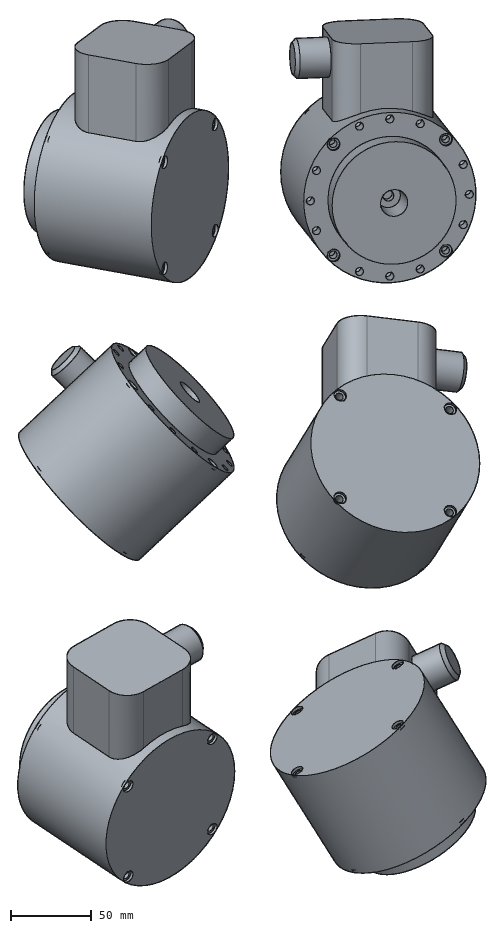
import cadquery as cq
import math

overall_length = 95.5
overall_height = 150.2

body_diameter = 108.5
pilot_diameter = 78.0
pilot_length = 14.7

tower_width = 63.1
tower_corner_radius = 15.2
tower_center_x = 57.4
tower_top_z = overall_height - body_diameter / 2

connector_diameter = 25.1
connector_length = 22.1
connector_chamfer = 2.5
connector_drop = 15.2

bore_mouth_diameter = 17.0
bore_floor_diameter = 15.0
bore_depth = 20.0
center_hole_diameter = 6.8
center_hole_depth = 6.0

bolt_circle_radius = 50.0
bolt_places = 16
diagonal_places = [2, 6, 10, 14]
drilled_diameter = 5.0
drilled_depth = 10.0
drill_point_angle = 118.0
screw_hole_diameter = 4.8
screw_hole_depth = 6.7
counterbore_diameter = 7.8
counterbore_depth = 1.3


def cylinder_x(diameter, start_x, length, y=0.0, z=0.0):
    """Cylinder along +X, or along -X where the length is negative."""
    return cq.Workplane("YZ", origin=(start_x, y, z)).circle(diameter / 2).extrude(length)


def revolved_x(profile, start_x, y=0.0, z=0.0):
    """Solid of revolution about an X-parallel axis, from (depth, radius) points."""
    section = cq.Workplane("XY").polyline(profile).close()
    return section.revolve(360, (0, 0, 0), (1, 0, 0)).translate((start_x, y, z))


def bolt_position(place):
    angle = 2 * math.pi * place / bolt_places
    return bolt_circle_radius * math.cos(angle), bolt_circle_radius * math.sin(angle)


def make_housing():
    pilot = cylinder_x(pilot_diameter, 0, overall_length)
    body = cylinder_x(body_diameter, pilot_length, overall_length - pilot_length)
    return pilot.union(body)


def make_tower():
    base = cq.Workplane("XY", origin=(tower_center_x, 0, 0))
    tower = base.rect(tower_width, tower_width).extrude(tower_top_z)
    return tower.edges("|Z").fillet(tower_corner_radius)


def make_connector():
    axis_z = tower_top_z - connector_drop
    tip_y = tower_width / 2 + connector_length
    start = cq.Workplane("XZ", origin=(tower_center_x, 0, axis_z))
    connector = start.circle(connector_diameter / 2).extrude(-tip_y)
    return connector.faces(">Y").chamfer(connector_chamfer)


def make_center_bore():
    mouth_radius = bore_mouth_diameter / 2
    floor_radius = bore_floor_diameter / 2
    bore = revolved_x([(0, 0), (0, mouth_radius), (bore_depth, floor_radius), (bore_depth, 0)], 0)
    return bore.union(cylinder_x(center_hole_diameter, 0, bore_depth + center_hole_depth))


def make_drilled_hole(y, z):
    radius = drilled_diameter / 2
    point_length = radius / math.tan(math.radians(drill_point_angle / 2))
    profile = [(0, 0), (0, radius), (drilled_depth, radius), (drilled_depth + point_length, 0)]
    return revolved_x(profile, pilot_length, y, z)


def make_screw_hole(face_x, direction, y, z):
    hole = cylinder_x(screw_hole_diameter, face_x, direction * screw_hole_depth, y, z)
    return hole.union(cylinder_x(counterbore_diameter, face_x, direction * counterbore_depth, y, z))


result = make_housing().union(make_tower()).union(make_connector())
result = result.cut(make_center_bore())
for place in range(bolt_places):
    hole_y, hole_z = bolt_position(place)
    if place in diagonal_places:
        result = result.cut(make_screw_hole(pilot_length, 1.5, hole_y, hole_z))
        result = result.cut(make_screw_hole(overall_length, -1.5, hole_y, hole_z))
    else:
        result = result.cut(make_drilled_hole(hole_y, hole_z))